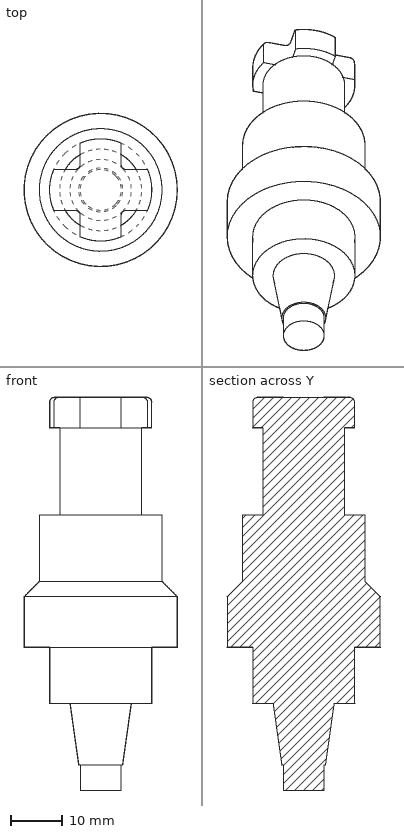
import cadquery as cq

tip_diameter = 8.0
taper_small_diameter = 8.6
taper_large_diameter = 12.0
spigot_diameter = 20.0
collar_diameter = 30.0
shoulder_diameter = 24.0
neck_diameter = 16.0
head_diameter = spigot_diameter

tip_top = 5.0
taper_top = 17.0
spigot_top = 28.0
collar_top = 41.0
shoulder_top = 54.0
head_bottom = 71.0
head_top = 77.0

arm_width = 8.0
inner_corner_radius = 1.0
rim_radius = 1.0

collar_bevel = (collar_diameter - shoulder_diameter) / 2


def cylinder(diameter, bottom, top):
    return cq.Workplane("XY").workplane(offset=bottom).circle(diameter / 2).extrude(top - bottom)


def tapered_section():
    """Cone widening upward from the tip to the spigot."""
    return (
        cq.Workplane("XY")
        .workplane(offset=tip_top)
        .circle(taper_small_diameter / 2)
        .workplane(offset=taper_top - tip_top)
        .circle(taper_large_diameter / 2)
        .loft()
    )


def collar():
    """Widest section, beveled up to the shoulder above it."""
    return cylinder(collar_diameter, spigot_top, collar_top).faces(">Z").edges().chamfer(collar_bevel)


def cross_head():
    """Round-edged disc cut down to four arms with rounded inner corners."""
    height = head_top - head_bottom
    disc = cylinder(head_diameter, head_bottom, head_top).faces(">Z").edges().fillet(rim_radius)
    notch_size = head_diameter / 2
    notch_center = (arm_width + notch_size) / 2
    for x_side in (-1, 1):
        for y_side in (-1, 1):
            notch = (
                cq.Workplane("XY")
                .workplane(offset=head_bottom)
                .center(x_side * notch_center, y_side * notch_center)
                .rect(notch_size, notch_size)
                .extrude(height)
                .edges("|Z")
                .fillet(inner_corner_radius)
            )
            disc = disc.cut(notch)
    return disc


result = (
    cylinder(tip_diameter, 0, tip_top)
    .union(tapered_section())
    .union(cylinder(spigot_diameter, taper_top, spigot_top))
    .union(collar())
    .union(cylinder(shoulder_diameter, collar_top, shoulder_top))
    .union(cylinder(neck_diameter, shoulder_top, head_bottom))
    .union(cross_head())
)